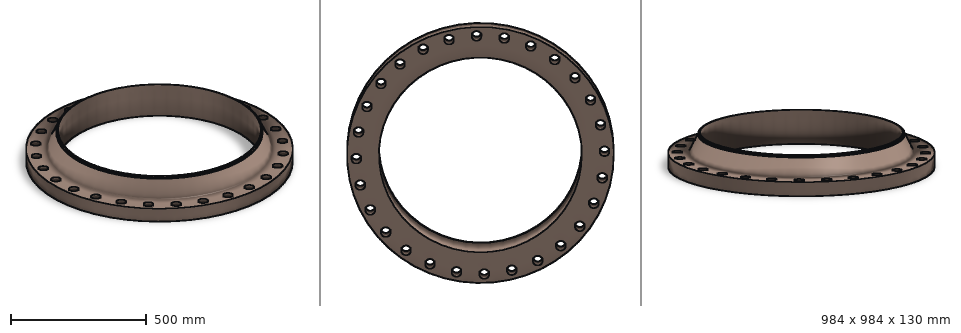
import cadquery as cq

flange_diameter = 984.0
flange_thickness = 54.0
total_height = 130.0
bore_diameter = 748.0

hub_base_diameter = 830.0
hub_neck_diameter = 762.0
base_fillet_radius = 6.0

neck_height = 5.0
weld_bevel_height = 4.0
weld_land_width = 2.0

bolt_count = 28
bolt_circle_diameter = 915.0
bolt_hole_diameter = 36.0


def make_flange_plate():
    return cq.Workplane("XY").circle(flange_diameter / 2).extrude(flange_thickness)


def make_hub():
    """Cone that narrows to a short straight neck, topped by a weld bevel and a thin flat land."""
    neck_top = total_height - weld_bevel_height
    neck_bottom = neck_top - neck_height
    land_radius = bore_diameter / 2 + weld_land_width
    return (
        cq.Workplane("XZ")
        .moveTo(0, flange_thickness)
        .lineTo(hub_base_diameter / 2, flange_thickness)
        .lineTo(hub_neck_diameter / 2, neck_bottom)
        .lineTo(hub_neck_diameter / 2, neck_top)
        .lineTo(land_radius, total_height)
        .lineTo(0, total_height)
        .close()
        .revolve(360, (0, 0, 0), (0, 1, 0))
    )


def fillet_hub_base(body):
    """Round the inner corner where the cone meets the plate."""
    hub_base_edge = cq.selectors.RadiusNthSelector(-2)
    return body.edges(hub_base_edge).fillet(base_fillet_radius)


def make_bolt_holes():
    return (
        cq.Workplane("XY")
        .polarArray(bolt_circle_diameter / 2, 0, 360, bolt_count)
        .circle(bolt_hole_diameter / 2)
        .extrude(flange_thickness)
    )


def make_bore():
    return cq.Workplane("XY").circle(bore_diameter / 2).extrude(total_height)


body = fillet_hub_base(make_flange_plate().union(make_hub()))
result = body.cut(make_bore()).cut(make_bolt_holes())